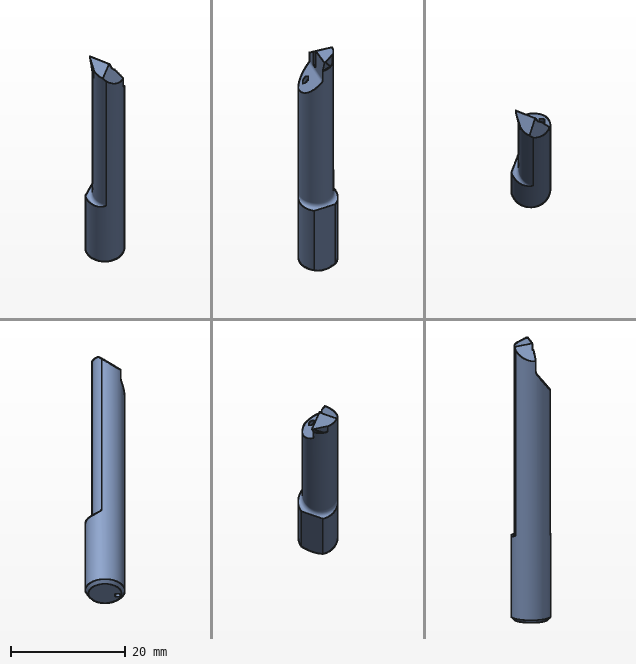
import cadquery as cq
import math

total_length = 50.0
shank_radius = 3.5
shank_length = 15.0
flat_x = -2.85
end_chamfer = 0.6

neck_radius = 3.15
neck_x = 1.05
shoulder_fillet = 0.75

cutting_plane_y = 0.05
chip_floor_z = 44.8
chip_slope = math.radians(49)
chip_corner_radius = 0.9

hole_diameter = 1.0
hole_x = 1.45
hole_y = 1.75
groove_y = 0.35
groove_bottom_z = 45.5

head_bottom_z = 47.3
head_back_y = -2.25
head_corner_radius = 0.3
side_start_x = -2.9
side_slope = 0.8
front_y_slope = 0.3
front_z_slope = 0.29

end_x_slope = 0.105
end_y_slope = 0.13
bevel_x = 0.8
bevel_x_slope = 0.97
bevel_y_slope = 0.08

reach = 4 * shank_radius


def cylinder(radius, x, y, bottom, top):
    return cq.Workplane("XY", origin=(x, y, bottom)).circle(radius).extrude(top - bottom)


def box_between(low, high):
    size = [b - a for a, b in zip(low, high)]
    return cq.Workplane("XY").box(*size, centered=False).translate(low)


def half_space(point, normal):
    """Large block on the outer side of a plane."""
    return cq.Workplane(cq.Plane(origin=point, normal=normal)).rect(2 * reach, 2 * reach).extrude(reach)


def make_shank():
    return cylinder(shank_radius, 0, 0, 0, shank_length).faces("<Z").chamfer(end_chamfer)


def make_neck():
    """Eccentric round neck, flared by a fillet where it leaves the shank."""
    flare_radius = neck_radius + shoulder_fillet
    neck = (
        cq.Workplane("XZ")
        .moveTo(0, shank_length - shoulder_fillet)
        .lineTo(flare_radius, shank_length - shoulder_fillet)
        .lineTo(flare_radius, shank_length)
        .radiusArc((neck_radius, shank_length + shoulder_fillet), shoulder_fillet)
        .lineTo(neck_radius, total_length)
        .lineTo(0, total_length)
        .close()
        .revolve(360, (0, 0, 0), (0, 1, 0))
        .translate((neck_x, 0, 0))
    )
    return neck.intersect(cylinder(shank_radius, 0, 0, 0, total_length))


def make_head_envelope():
    """Space around the cutting head, with a rounded lower back corner."""
    envelope = box_between((-reach, head_back_y, head_bottom_z), (neck_x, reach, total_length + 0.5))
    return envelope.edges("|X and <Y and <Z").fillet(head_corner_radius)


def make_head_block():
    """Material for the cutting tip, reaching past the neck."""
    block = box_between((flat_x, head_back_y, head_bottom_z), (neck_x, cutting_plane_y, total_length))
    return block.intersect(make_head_envelope())


def make_head_relief():
    """Space outside the upright side relief and the sloping tip relief."""
    side = half_space((side_start_x, 0, total_length), (-1, -side_slope, 0))
    front = half_space(
        (flat_x, cutting_plane_y, total_length), (-1, -front_y_slope, -front_z_slope)
    )
    return side.union(front).intersect(make_head_envelope())


def make_chip_space():
    slope_end_z = chip_floor_z - (reach - cutting_plane_y) * math.tan(chip_slope)
    space = (
        cq.Workplane("YZ", origin=(-reach, 0, 0))
        .moveTo(cutting_plane_y, chip_floor_z)
        .lineTo(reach, slope_end_z)
        .lineTo(reach, total_length + 0.5)
        .lineTo(cutting_plane_y, total_length + 0.5)
        .close()
        .extrude(2 * reach)
    )
    corner = cq.selectors.NearestToPointSelector((0, cutting_plane_y, chip_floor_z))
    return space.edges(corner).fillet(chip_corner_radius)


body = make_shank().union(make_neck())
body = body.cut(box_between((-reach, -reach, 0), (flat_x, reach, total_length)))
body = body.union(make_head_block()).cut(make_head_relief()).cut(make_chip_space())

bevel_z = total_length - end_x_slope * (bevel_x - flat_x)
body = body.cut(half_space((flat_x, cutting_plane_y, total_length), (end_x_slope, -end_y_slope, 1)))
body = body.cut(half_space((bevel_x, cutting_plane_y, bevel_z), (bevel_x_slope, -bevel_y_slope, 1)))

hole_radius = hole_diameter / 2
body = body.cut(cylinder(hole_radius, hole_x, groove_y, groove_bottom_z, total_length))
result = body.cut(cylinder(hole_radius, hole_x, hole_y, 0, total_length))